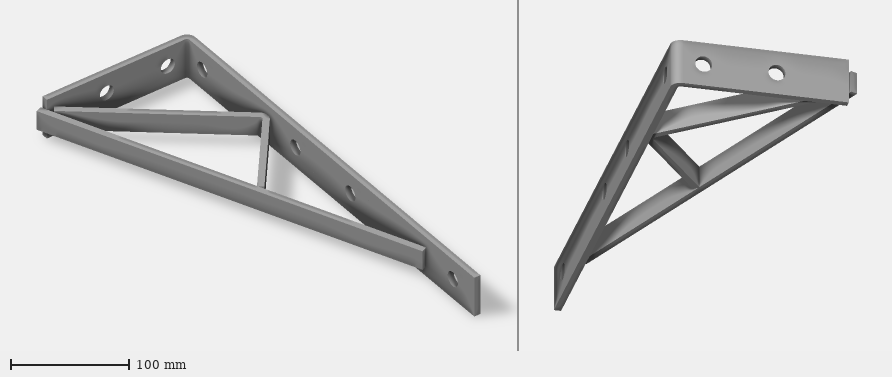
import cadquery as cq
import math

thickness = 6.3
outer_bend = 9.0
inner_bend = outer_bend - thickness
weld_overlap = 0.2

arm_length = 419.0
leg_length = 153.0
bracket_width = 41.0

hole_diameter = 14.5
arm_hole_places = (27.2, 161.5, 240.5, 388.0)
leg_hole_places = (27.0, 90.5)

strut_width = 19.5
total_depth = 161.0
strut_end_x = 352.0
strut_angle = 23.1
brace_angle = 38.7
brace_crown_x = 121.5
brace_long_side = 182.7
brace_short_side = 103.0


def bent_bar(right_length, down_length, width):
    """Bar bent to a right angle: one side along +X, the other along -Y."""
    return (
        cq.Workplane("XY")
        .polyline([
            (0, 0),
            (right_length, 0),
            (right_length, -thickness),
            (thickness, -thickness),
            (thickness, -down_length),
            (0, -down_length),
        ])
        .close()
        .extrude(width / 2, both=True)
        .edges(cq.selectors.NearestToPointSelector((0, 0, 0)))
        .fillet(outer_bend)
        .edges(cq.selectors.NearestToPointSelector((thickness, -thickness, 0)))
        .fillet(inner_bend)
    )


def drilled_bracket():
    bracket = bent_bar(arm_length, leg_length, bracket_width)
    arm_drills = (
        cq.Workplane("XZ")
        .pushPoints([(place, 0) for place in arm_hole_places])
        .circle(hole_diameter / 2)
        .extrude(thickness)
    )
    leg_drills = (
        cq.Workplane("YZ")
        .pushPoints([(-place, 0) for place in leg_hole_places])
        .circle(hole_diameter / 2)
        .extrude(thickness)
    )
    return bracket.cut(arm_drills).cut(leg_drills)


def diagonal_strut():
    """Straight bar from the foot of the leg up to the arm."""
    angle = math.radians(strut_angle)
    rise = total_depth - thickness + weld_overlap - thickness * math.cos(angle)
    length = rise / math.sin(angle)
    lower_end_x = strut_end_x - length * math.cos(angle)
    return (
        cq.Workplane("XY")
        .box(length, thickness, strut_width, centered=(False, False, True))
        .rotate((0, 0, 0), (0, 0, 1), strut_angle)
        .translate((lower_end_x, -total_depth, 0))
    )


def inner_brace():
    """Tilted right-angle bar whose rounded crown meets the arm."""
    angle = math.radians(brace_angle)
    corner_x = outer_bend * (math.sin(angle) - math.cos(angle))
    corner_y = outer_bend * (math.sin(angle) + math.cos(angle))
    bend_centre_y = weld_overlap - thickness - outer_bend
    return (
        bent_bar(brace_short_side, brace_long_side, strut_width)
        .rotate((0, 0, 0), (0, 0, 1), -brace_angle)
        .translate((brace_crown_x + corner_x, bend_centre_y + corner_y, 0))
    )


result = drilled_bracket().union(diagonal_strut()).union(inner_brace())